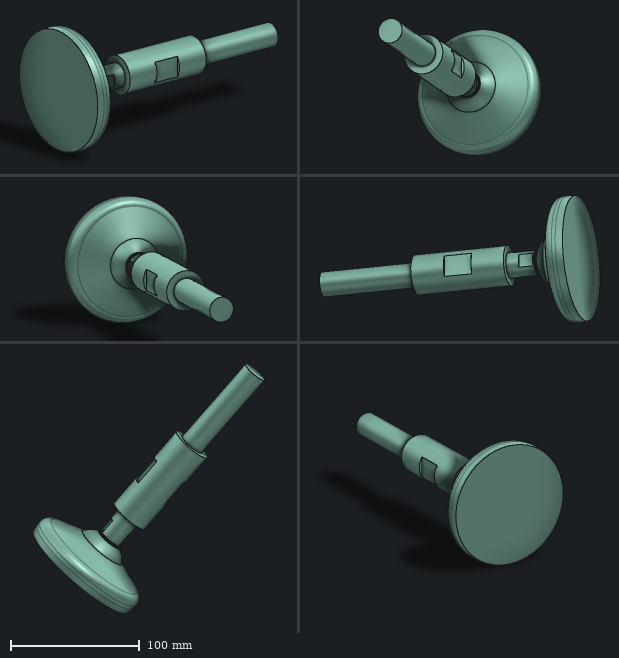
import cadquery as cq

total_length = 210.0

foot_radius = 50.0
sole_radius = 49.1
rim_start = 5.7
rim_end = 8.8
shoulder_radius = 43.7
shoulder_height = 15.8
shoulder_mid = (48.0, 13.5)
dome_base_radius = 20.2
dome_base_height = 25.5
dome_mid = (15.8, 30.2)
dome_top_radius = 10.7
foot_height = 33.5

stem_radius = 9.98
groove_radius = 9.2
groove_start = 34.2
groove_width = 1.3
stem_flat_width = 17.0
stem_flat_start = 36.5
stem_flat_length = 11.5

sleeve_radius = 16.0
sleeve_start = 58.4
sleeve_length = 75.4
sleeve_flat_width = 27.0
sleeve_flat_length = 22.3
sleeve_flat_start = sleeve_start + (sleeve_length - sleeve_flat_length) / 2


def cylinder(radius, start, length):
    """Cylinder on the Y axis that runs from start towards +Y."""
    return cq.Workplane("XZ", origin=(0, start, 0)).circle(radius).extrude(-length)


def cut_flats(body, radius, across_flats, start, length):
    """Cut two opposite wrench flats that face -X and +X."""
    depth = radius - across_flats / 2
    for side in (-1, 1):
        cutter = cq.Workplane("XY").box(2 * depth, length, 2 * radius).translate(
            (side * (across_flats / 2 + depth), start + length / 2, 0)
        )
        body = body.cut(cutter)
    return body


def make_foot():
    """Revolved plate with a rounded shoulder, a cone and a dome for the stem."""
    return (
        cq.Workplane("XY")
        .lineTo(sole_radius, 0)
        .lineTo(foot_radius, rim_start)
        .lineTo(foot_radius, rim_end)
        .threePointArc(shoulder_mid, (shoulder_radius, shoulder_height))
        .lineTo(dome_base_radius, dome_base_height)
        .threePointArc(dome_mid, (dome_top_radius, foot_height))
        .lineTo(0, foot_height)
        .close()
        .revolve(360, (0, 0, 0), (0, 1, 0))
    )


def make_stem():
    """Round rod standing on the foot, with a V-shaped neck groove and wrench flats."""
    rod = cylinder(stem_radius, foot_height, total_length - foot_height)
    groove = (
        cq.Workplane("XY")
        .moveTo(stem_radius, groove_start)
        .lineTo(groove_radius, groove_start + groove_width / 2)
        .lineTo(stem_radius, groove_start + groove_width)
        .close()
        .revolve(360, (0, 0, 0), (0, 1, 0))
    )
    return cut_flats(rod.cut(groove), stem_radius, stem_flat_width, stem_flat_start, stem_flat_length)


def make_sleeve():
    """Tube around the stem with two wrench flats at mid length."""
    tube = cylinder(sleeve_radius, sleeve_start, sleeve_length).cut(
        cylinder(stem_radius, sleeve_start, sleeve_length)
    )
    return cut_flats(tube, sleeve_radius, sleeve_flat_width, sleeve_flat_start, sleeve_flat_length)


foot = make_foot()
stem = make_stem()
sleeve = make_sleeve()

result = cq.Compound.makeCompound([foot.val(), stem.val(), sleeve.val()])